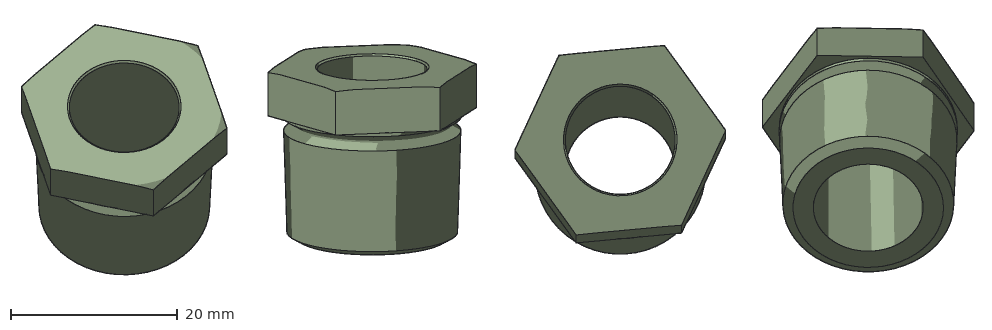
import cadquery as cq
import math

across_corners = 25.4
total_height = 21.0
head_height = 5.5
head_bottom = total_height - head_height
head_face_radius = 11.73
head_chamfer_angle = 10.0

collar_radius = 10.7
collar_bottom = 14.99
groove_edge_radius = 9.47
groove_root_depth = 0.1
groove_top = 14.3
groove_bottom = 13.9

shank_top_radius = 10.65
shank_top = 13.2
shank_taper = 1 / 32
end_chamfer_height = 0.7
end_chamfer_angle = 60.0

bore_radius = 6.58
bore_chamfer = 0.23


def make_head():
    """Hexagon with its top corners trimmed by a shallow cone."""
    hexagon = (
        cq.Workplane("XY")
        .workplane(offset=head_bottom)
        .polygon(6, across_corners)
        .extrude(head_height)
    )
    corner_radius = across_corners / 2
    corner_drop = (corner_radius - head_face_radius) * math.tan(math.radians(head_chamfer_angle))
    envelope = (
        cq.Workplane("XZ")
        .moveTo(0, head_bottom)
        .lineTo(corner_radius, head_bottom)
        .lineTo(corner_radius, total_height - corner_drop)
        .lineTo(head_face_radius, total_height)
        .lineTo(0, total_height)
        .close()
        .revolve(360, (0, 0, 0), (0, 1, 0))
    )
    return hexagon.intersect(envelope)


def make_shank():
    """Revolved collar, round-bottomed groove and tapered shank with a chamfered end."""
    shank_end_radius = shank_top_radius - (shank_top - end_chamfer_height) * shank_taper
    end_face_radius = shank_end_radius - end_chamfer_height * math.tan(math.radians(end_chamfer_angle))
    groove_root = (groove_edge_radius - groove_root_depth, (groove_bottom + groove_top) / 2)
    return (
        cq.Workplane("XZ")
        .lineTo(end_face_radius, 0)
        .lineTo(shank_end_radius, end_chamfer_height)
        .lineTo(shank_top_radius, shank_top)
        .lineTo(groove_edge_radius, groove_bottom)
        .threePointArc(groove_root, (groove_edge_radius, groove_top))
        .lineTo(collar_radius, collar_bottom)
        .lineTo(collar_radius, head_bottom)
        .lineTo(0, head_bottom)
        .close()
        .revolve(360, (0, 0, 0), (0, 1, 0))
    )


def make_bore():
    """Through bore widened by a chamfer at the head face."""
    return (
        cq.Workplane("XZ")
        .lineTo(bore_radius, 0)
        .lineTo(bore_radius, total_height - bore_chamfer)
        .lineTo(bore_radius + bore_chamfer, total_height)
        .lineTo(0, total_height)
        .close()
        .revolve(360, (0, 0, 0), (0, 1, 0))
    )


result = make_head().union(make_shank()).cut(make_bore())